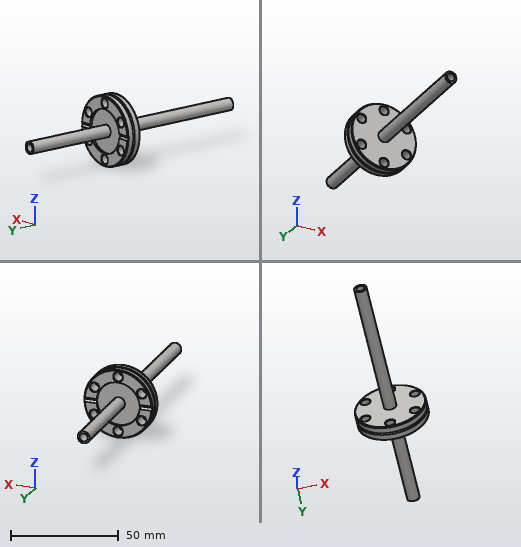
import cadquery as cq


TUBE_LENGTH = 120.0
TUBE_DIAMETER = 6.0
BORE_DIAMETER = 4.0

FLANGE_DIAMETER = 33.8
FLANGE_THICKNESS = 7.5
FLANGE_FRONT_Y = 67.5
EDGE_CHAMFER = 0.5

RIM_GROOVE_WIDTH = 1.1
RIM_GROOVE_DEPTH = 0.2

BOLT_COUNT = 6
BOLT_DIAMETER = 4.5
BOLT_CIRCLE_DIAMETER = 27.0
BOLT_HOLE_CHAMFER = 0.2

RECESS_DIAMETER = 21.4
RECESS_DEPTH = 1.2

NOTCH_WIDTH = 2.2
NOTCH_DEPTH = 0.8

flange_radius = FLANGE_DIAMETER / 2
flange_back_y = FLANGE_FRONT_Y + FLANGE_THICKNESS


def plane_at(y):
    """XZ plane at the given Y, with its normal along +Y."""
    return cq.Workplane(cq.Plane(origin=(0, y, 0), xDir=(1, 0, 0), normal=(0, 1, 0)))


def make_tube():
    return plane_at(0).circle(TUBE_DIAMETER / 2).circle(BORE_DIAMETER / 2).extrude(TUBE_LENGTH)


def make_rim_groove():
    """Ring whose section is a shallow arc, bulging toward the axis, closed by a straight chord."""
    middle_y = FLANGE_FRONT_Y + FLANGE_THICKNESS / 2
    half_width = RIM_GROOVE_WIDTH / 2
    return (
        cq.Workplane("XY")
        .moveTo(flange_radius, middle_y - half_width)
        .threePointArc((flange_radius - RIM_GROOVE_DEPTH, middle_y), (flange_radius, middle_y + half_width))
        .close()
        .revolve(360, (0, 0, 0), (0, 1, 0))
    )


def make_notches():
    """Triangular prism across the whole diameter; the recess leaves only its two outer ends."""
    return (
        cq.Workplane("YZ", origin=(0, flange_back_y, 0))
        .moveTo(0, -NOTCH_WIDTH / 2)
        .lineTo(-NOTCH_DEPTH, 0)
        .lineTo(0, NOTCH_WIDTH / 2)
        .close()
        .extrude(flange_radius, both=True)
    )


def make_bolt_holes():
    """Through holes, widened by a small chamfer at both faces."""
    mouth_radius = BOLT_DIAMETER / 2 + BOLT_HOLE_CHAMFER
    hole = (
        cq.Workplane("XY")
        .moveTo(0, FLANGE_FRONT_Y)
        .lineTo(mouth_radius, FLANGE_FRONT_Y)
        .lineTo(BOLT_DIAMETER / 2, FLANGE_FRONT_Y + BOLT_HOLE_CHAMFER)
        .lineTo(BOLT_DIAMETER / 2, flange_back_y - BOLT_HOLE_CHAMFER)
        .lineTo(mouth_radius, flange_back_y)
        .lineTo(0, flange_back_y)
        .close()
        .revolve(360, (0, 0, 0), (0, 1, 0))
        .translate((0, 0, BOLT_CIRCLE_DIAMETER / 2))
    )
    holes = cq.Workplane("XY")
    for index in range(BOLT_COUNT):
        holes = holes.add(hole.rotate((0, 0, 0), (0, 1, 0), index * 360 / BOLT_COUNT))
    return holes.combine()


def make_flange():
    flange = plane_at(FLANGE_FRONT_Y).circle(flange_radius).extrude(FLANGE_THICKNESS)
    flange = flange.edges().chamfer(EDGE_CHAMFER)
    tube_hole = plane_at(FLANGE_FRONT_Y).circle(TUBE_DIAMETER / 2).extrude(FLANGE_THICKNESS)
    recess = plane_at(flange_back_y).circle(RECESS_DIAMETER / 2).extrude(-RECESS_DEPTH)
    for cutter in (tube_hole, recess, make_notches(), make_rim_groove(), make_bolt_holes()):
        flange = flange.cut(cutter)
    return flange


tube = make_tube()
flange = make_flange()

result = cq.Compound.makeCompound([tube.val(), flange.val()])